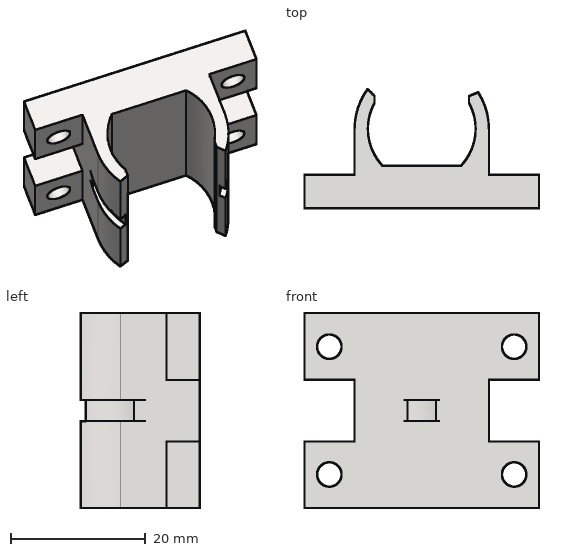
import cadquery as cq
import math

length = 34.9
height = 29.0
plate_thickness = 5.0
notch_height = 9.15

depth = 17.73
bore_y = 11.8
bore_radius = 8.0
clip_radius = 10.0
seat_y = 6.35
mouth_half_width = 7.0
mouth_corner_y = bore_y + 4.9
right_tip_y = bore_y + 5.45

hole_diameter = 3.6
hole_spacing_x = 27.45
hole_spacing_z = 19.0

groove_height = 3.15
groove_floor_radius = 8.97
groove_outer_y = 9.77


def half_chord(radius, offset):
    """Half the chord of a circle at a distance from its centre."""
    return math.sqrt(radius**2 - offset**2)


def centered_prism(outline, prism_height):
    return outline.extrude(prism_height / 2, both=True)


def base_plate():
    plate = cq.Workplane("XY").box(length, plate_thickness, height, centered=(True, False, True))
    notch_width = length / 2 - clip_radius
    notch_center = clip_radius + notch_width / 2
    for side in (-1, 1):
        notch = cq.Workplane("XY").box(
            notch_width, plate_thickness, notch_height, centered=(True, False, True)
        )
        plate = plate.cut(notch.translate((side * notch_center, 0, 0)))
    holes = (
        cq.Workplane("XZ")
        .rarray(hole_spacing_x, hole_spacing_z, 2, 2)
        .circle(hole_diameter / 2)
        .extrude(-plate_thickness)
    )
    return plate.cut(holes)


def clip():
    seat_half_width = half_chord(bore_radius, bore_y - seat_y)
    lip_y = bore_y + half_chord(bore_radius, mouth_half_width)
    left_tip_x = -half_chord(clip_radius, depth - bore_y)
    right_tip_x = half_chord(clip_radius, right_tip_y - bore_y)

    def outer_arc_middle(tip_x, tip_y):
        """Midpoint of the arc from the tip to the straight side wall."""
        angle = math.atan2(tip_y - bore_y, abs(tip_x)) / 2
        side = math.copysign(1, tip_x)
        return side * clip_radius * math.cos(angle), bore_y + clip_radius * math.sin(angle)

    outline = (
        cq.Workplane("XY")
        .moveTo(-clip_radius, 0)
        .lineTo(clip_radius, 0)
        .lineTo(clip_radius, bore_y)
        .threePointArc(outer_arc_middle(right_tip_x, right_tip_y), (right_tip_x, right_tip_y))
        .lineTo(mouth_half_width, mouth_corner_y)
        .lineTo(mouth_half_width, lip_y)
        .threePointArc((bore_radius, bore_y), (seat_half_width, seat_y))
        .lineTo(-seat_half_width, seat_y)
        .threePointArc((-bore_radius, bore_y), (-mouth_half_width, lip_y))
        .lineTo(-mouth_half_width, mouth_corner_y)
        .lineTo(left_tip_x, depth)
        .threePointArc(outer_arc_middle(left_tip_x, depth), (-clip_radius, bore_y))
        .close()
    )
    return centered_prism(outline, height)


def tie_groove():
    """U-shaped channel around the bore that just breaks through the mounting face."""
    channel_outline = (
        cq.Workplane("XY")
        .moveTo(-clip_radius, depth)
        .lineTo(-clip_radius, groove_outer_y)
        .threePointArc((0, groove_outer_y - clip_radius), (clip_radius, groove_outer_y))
        .lineTo(clip_radius, depth)
        .close()
    )
    core_outline = cq.Workplane("XY").center(0, bore_y).circle(groove_floor_radius)
    channel = centered_prism(channel_outline, groove_height)
    return channel.cut(centered_prism(core_outline, groove_height))


result = base_plate().union(clip()).cut(tie_groove())